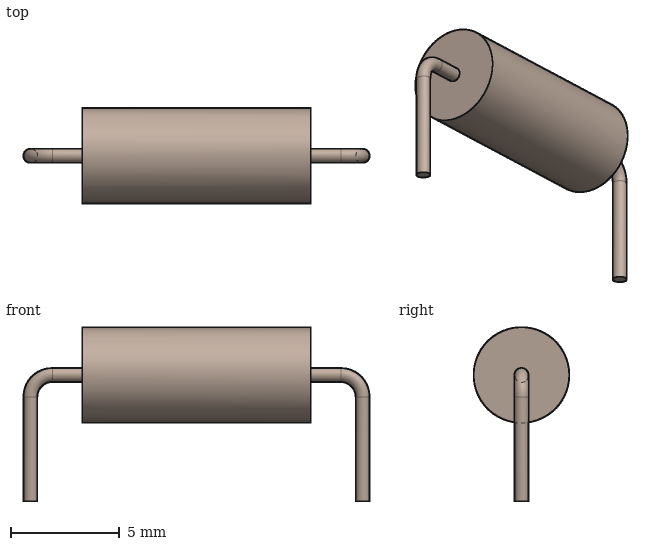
import cadquery as cq

body_diameter = 4.4
body_length = 10.5

lead_diameter = 0.65
lead_pitch = 15.24
lead_bend_radius = 1.0

overall_height = 8.0
lead_tip_z = body_diameter - overall_height
axis_z = body_diameter / 2


def make_body():
    """Plain cylinder centred on the Z axis."""
    return (
        cq.Workplane("YZ", origin=(-body_length / 2, 0, axis_z))
        .circle(body_diameter / 2)
        .extrude(body_length)
    )


def make_lead(side):
    """Round wire from the body end face, bent down; side is -1 or +1 along X."""
    body_end_x = side * body_length / 2
    leg_x = side * lead_pitch / 2
    bend_start_x = leg_x - side * lead_bend_radius
    bend_end_z = axis_z - lead_bend_radius

    centreline = (
        cq.Workplane("XZ")
        .moveTo(body_end_x, axis_z)
        .lineTo(bend_start_x, axis_z)
        .tangentArcPoint((leg_x, bend_end_z), relative=False)
        .lineTo(leg_x, lead_tip_z)
    )
    return (
        cq.Workplane("YZ", origin=(body_end_x, 0, axis_z))
        .circle(lead_diameter / 2)
        .sweep(centreline)
    )


body = make_body()
leads = [make_lead(side) for side in (-1, 1)]

result = cq.Compound.makeCompound([body.val(), *[lead.val() for lead in leads]])